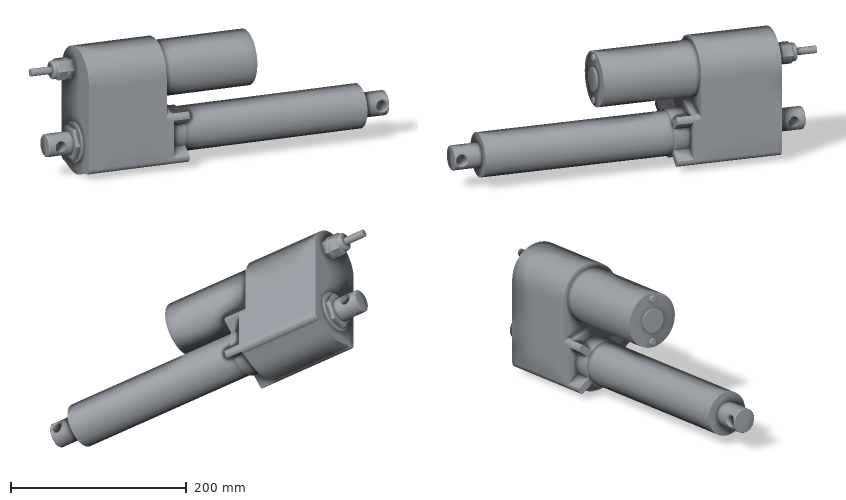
import cadquery as cq
import math


half_width = 38.0
belly_radius = 37.5
motor_axis_z = 75.0
corner_radius = 6.5
corner_x = half_width - corner_radius
corner_z = 23.5
shoulder_angle = math.radians(18)

housing_length = 97.5
flange_thickness = 9.0
lug_length = 19.5
tube_end_y = 354.0
rod_end_y = 386.5
flange_end_y = housing_length + flange_thickness
lug_end_y = flange_end_y + lug_length

motor_diameter = 65.0
motor_radius = motor_diameter / 2
motor_length = 115.8
motor_end_y = housing_length + motor_length
motor_boss_radius = 14.5
motor_boss_height = 2.5
screw_radius = 4.5
screw_offset = 25.8
screw_chamfer = 1.0

tube_diameter = 52.0
tube_radius = tube_diameter / 2
collar_radius = 28.0
lug_width = 8.7
lug_angle = 36.0

rod_radius = 14.5
rod_hole_radius = 6.0
rod_hole_inset = 8.7
rod_hole_chamfer = 1.7
rod_end_chamfer = 0.65

washer_radius = 24.0
washer_thickness = 2.5
nut_across_flats = 35.5
nut_end = 8.0
stud_diameter = 26.5
stud_radius = stud_diameter / 2
stud_end = 38.0
stud_hole_radius = 6.5
stud_hole_distance = 23.5
stud_chamfer = 1.5

gland_x = -12.5
gland_z = 84.7
gland_across_flats = 22.5
gland_base_end = 6.0
gland_ring_radius = 12.5
gland_ring_end = 8.7
gland_nut_end = 19.5
gland_nut_chamfer = 1.5
gland_neck_diameter = 21.5
gland_neck_radius = gland_neck_diameter / 2
gland_neck_end = 25.0
gland_neck_fillet = 2.0
cable_radius = 4.5
cable_end = 50.2


def section(y, x=0.0, z=0.0):
    """Sketch plane across Y with local axes X and Z; a negative extrusion runs toward +Y."""
    return cq.Workplane(cq.Plane(origin=(x, y, z), xDir=(1, 0, 0), normal=(0, -1, 0)))


def cylinder(radius, y_start, y_end, x=0.0, z=0.0):
    return section(y_start, x, z).circle(radius).extrude(y_start - y_end)


def hexagon(across_flats, y_start, y_end, x=0.0, z=0.0):
    """Hexagonal prism with flats facing up and down."""
    across_corners = across_flats / math.cos(math.pi / 6)
    return section(y_start, x, z).polygon(6, across_corners).extrude(y_start - y_end)


def cross_hole(radius, y):
    """Cutter for a pin hole along X through the drive axis."""
    return cq.Workplane("YZ").center(y, 0).circle(radius).extrude(half_width, both=True)


def lower_half(y_start, y_end):
    """Lower half of the housing section: a round belly, sloped shoulders and rounded corners."""
    tangent_x = belly_radius * math.sin(shoulder_angle)
    tangent_z = -belly_radius * math.cos(shoulder_angle)
    shoulder_z = tangent_z + (corner_x - tangent_x) * math.tan(shoulder_angle)
    belly = (
        section(y_start)
        .moveTo(-half_width, 0)
        .lineTo(-half_width, -corner_z)
        .lineTo(-corner_x, -corner_z)
        .lineTo(-corner_x, shoulder_z)
        .lineTo(-tangent_x, tangent_z)
        .threePointArc((0, -belly_radius), (tangent_x, tangent_z))
        .lineTo(corner_x, shoulder_z)
        .lineTo(corner_x, -corner_z)
        .lineTo(half_width, -corner_z)
        .lineTo(half_width, 0)
        .close()
        .extrude(y_start - y_end)
    )
    for side in (-1, 1):
        belly = belly.union(cylinder(corner_radius, y_start, y_end, side * corner_x, -corner_z))
    return belly


def make_housing():
    dome = (
        section(0)
        .moveTo(-half_width, 0)
        .lineTo(-half_width, motor_axis_z)
        .threePointArc((0, motor_axis_z + half_width), (half_width, motor_axis_z))
        .lineTo(half_width, 0)
        .close()
        .extrude(-housing_length)
    )
    return dome.union(lower_half(0, housing_length)).clean()


def make_motor():
    boss_end_y = motor_end_y + motor_boss_height
    motor = cylinder(motor_radius, housing_length, motor_end_y, z=motor_axis_z)
    motor = motor.union(cylinder(motor_boss_radius, motor_end_y, boss_end_y, z=motor_axis_z))
    for side in (-1, 1):
        screw_z = motor_axis_z + side * screw_offset
        screw = cylinder(screw_radius, motor_end_y, boss_end_y, z=screw_z)
        motor = motor.union(screw.faces(">Y").chamfer(screw_chamfer))
    return motor


def flange_prism(y_start, y_end):
    """Flange section, the lower half mirrored above the drive axis."""
    lower = lower_half(y_start, y_end)
    return lower.union(lower.mirror("XY")).clean()


def make_lugs():
    """Round collar with four diagonal ribs that reach to the rounded flange corners."""
    envelope = flange_prism(flange_end_y, lug_end_y)
    rib_length = 2 * (math.hypot(corner_x, corner_z) + corner_radius)
    lugs = cylinder(collar_radius, flange_end_y, lug_end_y)
    for angle in (-lug_angle, lug_angle):
        rib = section(flange_end_y).transformed(rotate=(0, 0, angle)).rect(rib_length, lug_width)
        lugs = lugs.union(rib.extrude(-lug_length).intersect(envelope))
    return lugs


def make_cover_tube():
    """Outer tube with its mounting flange and lugs."""
    flange = flange_prism(housing_length, flange_end_y)
    tube = cylinder(tube_radius, flange_end_y, tube_end_y)
    return flange.union(make_lugs()).union(tube)


def make_rod():
    """Rod with a pin hole that is chamfered on both sides."""
    rod = cylinder(rod_radius, tube_end_y, rod_end_y)
    rod = rod.faces(">Y").chamfer(rod_end_chamfer)
    hole_y = rod_end_y - rod_hole_inset
    rod = rod.cut(cross_hole(rod_hole_radius, hole_y))
    reach = rod_hole_radius + rod_hole_chamfer
    hole_box = cq.selectors.BoxSelector(
        (-half_width, hole_y - reach, -reach), (half_width, hole_y + reach, reach), boundingbox=True
    )
    return rod.edges(hole_box).chamfer(rod_hole_chamfer)


def make_rear_mount():
    """Washer, hexagonal nut and drilled stud on the rear face."""
    stud = cylinder(stud_radius, -nut_end, -stud_end)
    stud = stud.faces("<Y").chamfer(stud_chamfer)
    stud = stud.cut(cross_hole(stud_hole_radius, -stud_hole_distance))
    mount = cylinder(washer_radius, 0, -washer_thickness)
    mount = mount.union(hexagon(nut_across_flats, -washer_thickness, -nut_end))
    return mount.union(stud)


def make_cable_gland():
    """Gland of two hexagons and a ring, with a rounded neck and the cable."""
    axis = (gland_x, gland_z)
    base = hexagon(gland_across_flats, 0, -gland_base_end, *axis)
    ring = cylinder(gland_ring_radius, -gland_base_end, -gland_ring_end, *axis)
    nut = hexagon(gland_across_flats, -gland_ring_end, -gland_nut_end, *axis)
    nut = nut.faces("<Y").chamfer(gland_nut_chamfer)
    neck = cylinder(gland_neck_radius, -gland_nut_end, -gland_neck_end, *axis)
    neck = neck.faces("<Y").edges().fillet(gland_neck_fillet)
    cable = cylinder(cable_radius, -gland_neck_end, -cable_end, *axis)
    return base.union(ring).union(nut).union(neck).union(cable)


housing = make_housing()
motor = make_motor()
cover_tube = make_cover_tube()
rod = make_rod()
rear_mount = make_rear_mount()
cable_gland = make_cable_gland()

result = cq.Compound.makeCompound([
    housing.val(),
    motor.val(),
    cover_tube.val(),
    rod.val(),
    rear_mount.val(),
    cable_gland.val(),
])